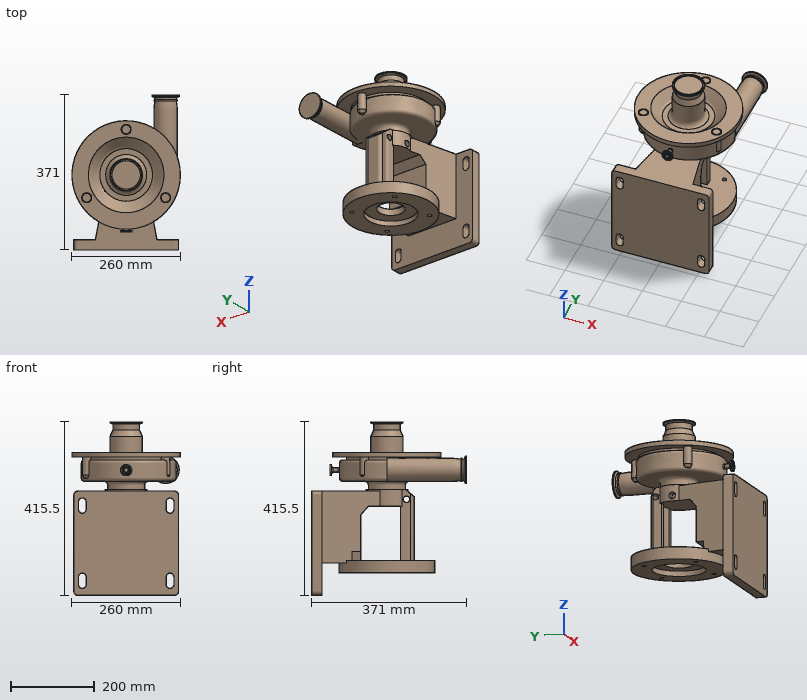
import cadquery as cq
import math


PLATE_HEIGHT = 250.0
PLATE_WIDTH = 251.0
PLATE_THICKNESS = 25.0
PLATE_FRONT_Y = -180.0
PLATE_BACK_Y = PLATE_FRONT_Y + PLATE_THICKNESS
PLATE_CORNER_RADIUS = 10.0
SLOT_WIDTH = 18.0
SLOT_LENGTH = 36.0
SLOT_PITCH_X = 210.0
SLOT_PITCH_Z = 180.0

MOTOR_FLANGE_RADIUS = 115.0
MOTOR_FLANGE_BOTTOM = 54.0
MOTOR_FLANGE_TOP = 84.0
MOTOR_BORE_RADIUS = 34.0
MOTOR_REGISTER_RADIUS = 65.0
MOTOR_REGISTER_DEPTH = 13.0
MOTOR_BOLT_OFFSET = 66.0
MOTOR_BOLT_DIAMETER = 10.0

BRACKET_BOTTOM = 77.5
BRACKET_TOP = PLATE_HEIGHT
BRACKET_HALF_WIDTH = 74.0
BRACKET_TAPER = 0.19
BRACKET_INNER_Y = -62.5
BRACKET_CHAMFER_Y = 18.0
BRACKET_CHAMFER_Z = 20.0
NOTCH_DEPTH = 20.5
NOTCH_TOP = 105.5

BOSS_RADIUS = 50.5
BOSS_BOTTOM = 213.0
BOSS_TOP = 253.0
BOSS_HOLE_DIAMETER = 16.0
BOSS_HOLE_Z = 226.5
BOSS_HOLE_DEPTH = 20.0

COLUMN_HALF_WIDTH = 35.0
COLUMN_FRONT_Y = 32.5
COLUMN_SHOULDER_Y = 56.0
COLUMN_RIB_Y = 65.5
COLUMN_RIB_HALF_WIDTH = 20.0
COLUMN_ROUND = 6.5
COLUMN_BORE_RADIUS = 38.0
COLUMN_BEVEL_Y = 20.0
COLUMN_BEVEL_Z = 16.5
COLUMN_HOLE_DIAMETER = 15.0
COLUMN_HOLE_Y = 47.0
COLUMN_HOLE_Z = 230.0

VOLUTE_BOTTOM = 273.0
VOLUTE_TOP = 324.5
VOLUTE_START_RADIUS = 95.5
VOLUTE_END_RADIUS = 119.5
VOLUTE_ROUND = 7.5
SPIRAL_STEPS = 24
NECK_RADIUS = 44.5
NECK_FILLET = 9.5

COVER_RADIUS = 130.0
COVER_BOTTOM = 331.0
COVER_TOP = 342.5
COVER_SPIGOT_RADIUS = 97.0
BOWL_TOP_RADIUS = 90.5
BOWL_LOW_RADIUS = 68.0
BOWL_FLOOR_RADIUS = 63.0
BOWL_DEPTH = 25.0
BOWL_CORNER_HEIGHT = 3.0

INLET_RADIUS = 39.0
INLET_FLARE_RADIUS = 15.0
INLET_FLARE_WIDTH = 10.0
INLET_NECK_RADIUS = 32.0
INLET_CONE_BOTTOM = 381.0
INLET_CONE_TOP = 396.0
INLET_TOP = 415.5
FERRULE_LIP = 2.5
FERRULE_TAPER = 3.0
GASKET_INNER_RADIUS = 34.0
GASKET_OUTER_RADIUS = 37.0
GASKET_DEPTH = 1.5

OUTLET_X = 94.5
OUTLET_Z = 300.5
OUTLET_END_Y = 191.0
OUTLET_RADIUS = 28.0
OUTLET_MID_RADIUS = 27.5
OUTLET_NECK_RADIUS = 26.5
OUTLET_LIP_RADIUS = 32.7
OUTLET_LIP = 3.5
OUTLET_TAPER = 2.5
OUTLET_CONE_START_Y = 158.5
OUTLET_CONE_MID_Y = 166.0
OUTLET_CONE_END_Y = 172.5
BEAD_Y = 178.5
BEAD_RADIUS = 1.7

PORT_Z = 300.0
PORT_RADIUS = 6.0
PORT_END_Y = -136.5
PORT_LIP_RADIUS = 13.5
PORT_LIP = 4.0
PORT_TAPER = 3.0
PORT_HUB_RADIUS = 9.5
PORT_BORE_RADIUS = 5.0
PORT_BORE_DEPTH = 20.0
PORT_GROOVE_INNER_RADIUS = 8.0
PORT_GROOVE_OUTER_RADIUS = 10.5
PORT_GROOVE_DEPTH = 1.5

STUD_ANGLES = (90.0, 210.0, 330.0)
STUD_CIRCLE_RADIUS = 109.0
STUD_RADIUS = 10.5
STUD_BOTTOM = 280.0
STUD_CHAMFER_HEIGHT = 8.0
STUD_CHAMFER_WIDTH = 5.0
STUD_HOLE_RADIUS = 12.0
STUD_GROOVE_DEPTH = 3.0

THROUGH = 2 * PLATE_HEIGHT


def cylinder(radius, bottom, top, x=0.0, y=0.0):
    return cq.Workplane("XY", origin=(x, y, bottom)).circle(radius).extrude(top - bottom)


def ring(outer_radius, inner_radius, bottom, top, x=0.0, y=0.0):
    return cylinder(outer_radius, bottom, top, x, y).cut(cylinder(inner_radius, bottom, top, x, y))


def mounting_plate():
    plate = (
        cq.Workplane("XZ", origin=(0, PLATE_BACK_Y, PLATE_HEIGHT / 2))
        .rect(PLATE_WIDTH, PLATE_HEIGHT)
        .extrude(PLATE_THICKNESS)
        .edges("|Y")
        .fillet(PLATE_CORNER_RADIUS)
    )
    slots = (
        cq.Workplane("XZ", origin=(0, PLATE_BACK_Y, PLATE_HEIGHT / 2))
        .rect(SLOT_PITCH_X, SLOT_PITCH_Z, forConstruction=True)
        .vertices()
        .slot2D(SLOT_LENGTH, SLOT_WIDTH, 90)
        .extrude(PLATE_THICKNESS)
    )
    return plate.cut(slots)


def bracket_half_width(y):
    return BRACKET_HALF_WIDTH - BRACKET_TAPER * (y - PLATE_BACK_Y)


def bracket():
    rear_half_width = bracket_half_width(0)
    plan = (
        cq.Workplane("XY", origin=(0, 0, BRACKET_BOTTOM))
        .polyline([
            (-BRACKET_HALF_WIDTH, PLATE_BACK_Y),
            (BRACKET_HALF_WIDTH, PLATE_BACK_Y),
            (rear_half_width, 0),
            (-rear_half_width, 0),
        ])
        .close()
        .extrude(BRACKET_TOP - BRACKET_BOTTOM)
    )
    opening = (
        cq.Workplane("YZ")
        .polyline([
            (BRACKET_INNER_Y, MOTOR_FLANGE_TOP),
            (BRACKET_INNER_Y, BOSS_BOTTOM - BRACKET_CHAMFER_Z),
            (BRACKET_INNER_Y + BRACKET_CHAMFER_Y, BOSS_BOTTOM),
            (0, BOSS_BOTTOM),
            (0, BRACKET_BOTTOM),
            (BRACKET_INNER_Y, BRACKET_BOTTOM),
        ])
        .close()
        .extrude(THROUGH, both=True)
    )
    notch_y = BRACKET_INNER_Y - NOTCH_DEPTH
    notch_half_width = bracket_half_width(notch_y)
    notch = cq.Workplane("XY", origin=(0, 0, MOTOR_FLANGE_TOP))
    for side in (-1, 1):
        notch = (
            notch.moveTo(0, BRACKET_INNER_Y)
            .lineTo(side * notch_half_width, notch_y)
            .lineTo(side * BRACKET_HALF_WIDTH, notch_y)
            .lineTo(side * BRACKET_HALF_WIDTH, BRACKET_INNER_Y)
            .close()
        )
    return plan.cut(opening).cut(notch.extrude(NOTCH_TOP - MOTOR_FLANGE_TOP))


def motor_flange():
    flange = ring(MOTOR_FLANGE_RADIUS, MOTOR_BORE_RADIUS, MOTOR_FLANGE_BOTTOM, MOTOR_FLANGE_TOP)
    register_top = MOTOR_FLANGE_BOTTOM + MOTOR_REGISTER_DEPTH
    flange = flange.cut(cylinder(MOTOR_REGISTER_RADIUS, MOTOR_FLANGE_BOTTOM, register_top))
    for x_side in (-1, 1):
        for y_side in (-1, 1):
            flange = flange.cut(cylinder(
                MOTOR_BOLT_DIAMETER / 2, MOTOR_FLANGE_BOTTOM, MOTOR_FLANGE_TOP,
                x_side * MOTOR_BOLT_OFFSET, y_side * MOTOR_BOLT_OFFSET,
            ))
    return flange


def column():
    body_depth = COLUMN_SHOULDER_Y - COLUMN_FRONT_Y
    rib_depth = COLUMN_RIB_Y - COLUMN_FRONT_Y
    height = BOSS_TOP - MOTOR_FLANGE_TOP
    section = cq.Workplane("XY", origin=(0, COLUMN_FRONT_Y, MOTOR_FLANGE_TOP))
    body = section.rect(2 * COLUMN_HALF_WIDTH, 2 * body_depth).extrude(height)
    body = body.edges("|Z and >Y").fillet(COLUMN_ROUND)
    rib = section.rect(2 * COLUMN_RIB_HALF_WIDTH, 2 * rib_depth).extrude(height)
    rib = rib.edges("|Z and >Y").fillet(COLUMN_ROUND)
    front_space = (
        section.rect(THROUGH, 2 * rib_depth).extrude(height)
        .translate((0, -rib_depth, 0))
    )
    bevel = (
        cq.Workplane("YZ")
        .moveTo(COLUMN_RIB_Y, BOSS_TOP)
        .lineTo(COLUMN_RIB_Y - COLUMN_BEVEL_Y, BOSS_TOP)
        .lineTo(COLUMN_RIB_Y, BOSS_TOP - COLUMN_BEVEL_Z)
        .close()
        .extrude(THROUGH, both=True)
    )
    bore = cylinder(COLUMN_BORE_RADIUS, MOTOR_FLANGE_TOP, BOSS_BOTTOM)
    return body.union(rib).cut(front_space).cut(bevel).cut(bore)


def boss_holes():
    column_hole = (
        cq.Workplane("YZ", origin=(0, COLUMN_HOLE_Y, COLUMN_HOLE_Z))
        .circle(COLUMN_HOLE_DIAMETER / 2)
        .extrude(THROUGH, both=True)
    )
    boss_hole = (
        cq.Workplane("YZ", origin=(-BOSS_RADIUS, 0, BOSS_HOLE_Z))
        .circle(BOSS_HOLE_DIAMETER / 2)
        .extrude(BOSS_HOLE_DEPTH)
    )
    return column_hole.union(boss_hole)


def support():
    boss = cylinder(BOSS_RADIUS, BOSS_BOTTOM, BOSS_TOP)
    return (
        mounting_plate()
        .union(bracket())
        .union(motor_flange())
        .union(column())
        .union(boss)
        .cut(boss_holes())
    )


def volute_point(turn):
    radius = VOLUTE_START_RADIUS + (VOLUTE_END_RADIUS - VOLUTE_START_RADIUS) * turn
    angle = 2 * math.pi * turn
    return (radius * math.cos(angle), radius * math.sin(angle))


def volute():
    spiral = [volute_point(step / SPIRAL_STEPS) for step in range(1, SPIRAL_STEPS + 1)]
    casing = (
        cq.Workplane("XY", origin=(0, 0, VOLUTE_BOTTOM))
        .moveTo(VOLUTE_START_RADIUS, 0)
        .spline(spiral, includeCurrent=True)
        .close()
        .extrude(VOLUTE_TOP - VOLUTE_BOTTOM)
        .faces("|Z").edges("not %LINE")
        .fillet(VOLUTE_ROUND)
    )
    flare_bottom = VOLUTE_BOTTOM - NECK_FILLET
    flare_radius = NECK_RADIUS + NECK_FILLET
    diagonal = NECK_FILLET * math.sqrt(0.5)
    neck = (
        cq.Workplane("XZ")
        .moveTo(0, BOSS_TOP)
        .lineTo(NECK_RADIUS, BOSS_TOP)
        .lineTo(NECK_RADIUS, flare_bottom)
        .threePointArc((flare_radius - diagonal, flare_bottom + diagonal), (flare_radius, VOLUTE_BOTTOM))
        .lineTo(0, VOLUTE_BOTTOM)
        .close()
        .revolve(360, (0, 0, 0), (0, 1, 0))
    )
    return casing.union(neck)


def outlet():
    lip_y = OUTLET_END_Y - OUTLET_LIP
    tube = (
        cq.Workplane("XY", origin=(OUTLET_X, 0, OUTLET_Z))
        .polyline([
            (0, 0),
            (OUTLET_RADIUS, 0),
            (OUTLET_RADIUS, OUTLET_CONE_START_Y),
            (OUTLET_MID_RADIUS, OUTLET_CONE_MID_Y),
            (OUTLET_NECK_RADIUS, OUTLET_CONE_END_Y),
            (OUTLET_NECK_RADIUS, lip_y - OUTLET_TAPER),
            (OUTLET_LIP_RADIUS, lip_y),
            (OUTLET_LIP_RADIUS, OUTLET_END_Y),
            (0, OUTLET_END_Y),
        ])
        .close()
        .revolve(360, (0, 0, 0), (0, 1, 0))
    )
    bead = (
        cq.Workplane("XY", origin=(OUTLET_X, 0, OUTLET_Z))
        .center(OUTLET_NECK_RADIUS, BEAD_Y)
        .circle(BEAD_RADIUS)
        .revolve(360, (-OUTLET_NECK_RADIUS, 0, 0), (-OUTLET_NECK_RADIUS, 1, 0))
    )
    return tube.union(bead)


def cover():
    spigot = cylinder(COVER_SPIGOT_RADIUS, VOLUTE_TOP, COVER_BOTTOM)
    return spigot.union(cylinder(COVER_RADIUS, COVER_BOTTOM, COVER_TOP))


def bowl():
    bowl_floor = COVER_TOP - BOWL_DEPTH
    arc_center_x = INLET_RADIUS + INLET_FLARE_RADIUS
    sweep_angle = math.acos(1 - INLET_FLARE_WIDTH / INLET_FLARE_RADIUS)
    flare_top = bowl_floor + INLET_FLARE_RADIUS * math.sin(sweep_angle)
    flare_middle = (
        arc_center_x - INLET_FLARE_RADIUS * math.cos(sweep_angle / 2),
        flare_top - INLET_FLARE_RADIUS * math.sin(sweep_angle / 2),
    )
    return (
        cq.Workplane("XZ")
        .moveTo(BOWL_TOP_RADIUS, COVER_TOP)
        .lineTo(BOWL_LOW_RADIUS, bowl_floor + BOWL_CORNER_HEIGHT)
        .lineTo(BOWL_FLOOR_RADIUS, bowl_floor)
        .lineTo(INLET_RADIUS + INLET_FLARE_WIDTH, bowl_floor)
        .threePointArc(flare_middle, (INLET_RADIUS, flare_top))
        .lineTo(INLET_RADIUS, COVER_TOP)
        .close()
        .revolve(360, (0, 0, 0), (0, 1, 0))
    )


def inlet():
    lip_bottom = INLET_TOP - FERRULE_LIP
    pipe = (
        cq.Workplane("XZ")
        .polyline([
            (0, COVER_TOP),
            (INLET_RADIUS, COVER_TOP),
            (INLET_RADIUS, INLET_CONE_BOTTOM),
            (INLET_NECK_RADIUS, INLET_CONE_TOP),
            (INLET_NECK_RADIUS, lip_bottom - FERRULE_TAPER),
            (INLET_RADIUS, lip_bottom),
            (INLET_RADIUS, INLET_TOP),
            (0, INLET_TOP),
        ])
        .close()
        .revolve(360, (0, 0, 0), (0, 1, 0))
    )
    gasket_groove = ring(GASKET_OUTER_RADIUS, GASKET_INNER_RADIUS, INLET_TOP - GASKET_DEPTH, INLET_TOP)
    return pipe.cut(gasket_groove)


def drain_port():
    lip_y = PORT_END_Y + PORT_LIP
    groove_y = PORT_END_Y + PORT_GROOVE_DEPTH
    return (
        cq.Workplane("XY", origin=(0, 0, PORT_Z))
        .polyline([
            (0, -VOLUTE_START_RADIUS),
            (PORT_RADIUS, -VOLUTE_START_RADIUS),
            (PORT_RADIUS, lip_y + PORT_TAPER),
            (PORT_HUB_RADIUS, lip_y),
            (PORT_LIP_RADIUS, lip_y),
            (PORT_LIP_RADIUS, PORT_END_Y),
            (PORT_GROOVE_OUTER_RADIUS, PORT_END_Y),
            (PORT_GROOVE_OUTER_RADIUS, groove_y),
            (PORT_GROOVE_INNER_RADIUS, groove_y),
            (PORT_GROOVE_INNER_RADIUS, PORT_END_Y),
            (PORT_BORE_RADIUS, PORT_END_Y),
            (PORT_BORE_RADIUS, PORT_END_Y + PORT_BORE_DEPTH),
            (0, PORT_END_Y + PORT_BORE_DEPTH),
        ])
        .close()
        .revolve(360, (0, 0, 0), (0, 1, 0))
    )


def stud(x, y):
    tip_radius = STUD_RADIUS - STUD_CHAMFER_WIDTH
    return (
        cq.Workplane("XZ", origin=(x, y, 0))
        .polyline([
            (0, STUD_BOTTOM),
            (tip_radius, STUD_BOTTOM),
            (STUD_RADIUS, STUD_BOTTOM + STUD_CHAMFER_HEIGHT),
            (STUD_RADIUS, COVER_TOP),
            (0, COVER_TOP),
        ])
        .close()
        .revolve(360, (0, 0, 0), (0, 1, 0))
    )


def pump():
    body = volute().union(outlet()).union(drain_port()).union(cover()).cut(bowl()).union(inlet())
    for angle in STUD_ANGLES:
        x = STUD_CIRCLE_RADIUS * math.cos(math.radians(angle))
        y = STUD_CIRCLE_RADIUS * math.sin(math.radians(angle))
        body = body.union(stud(x, y))
        body = body.cut(ring(STUD_HOLE_RADIUS, STUD_RADIUS, COVER_TOP - STUD_GROOVE_DEPTH, COVER_TOP, x, y))
    return body


result = support().union(pump())